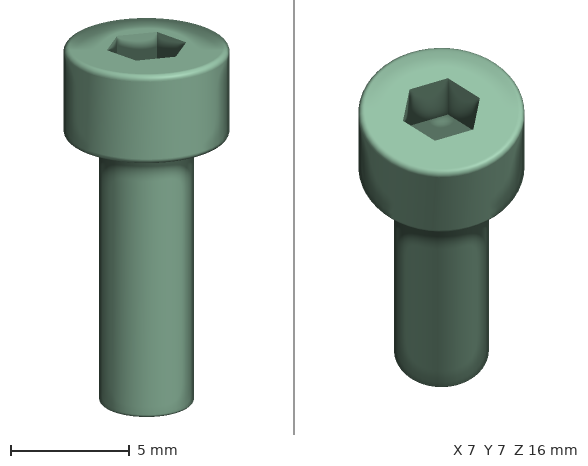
import cadquery as cq
import math

head_diameter = 7.0
head_height = 4.0
shank_diameter = 4.0
shank_length = 12.0
head_top_radius = 0.25
head_bottom_radius = 0.25
shank_tip_radius = 0.125
hex_sides = 6
socket_across_flats = 3.0
socket_depth = 2.4


def make_head():
    """Cylindrical head with rounded top and bottom rims."""
    head = cq.Workplane("XY").circle(head_diameter / 2).extrude(head_height)
    head = head.faces(">Z").edges().fillet(head_top_radius)
    return head.faces("<Z").edges().fillet(head_bottom_radius)


def make_shank():
    """Plain shank below the head with a rounded tip."""
    shank = cq.Workplane("XY").circle(shank_diameter / 2).extrude(-shank_length)
    return shank.faces("<Z").edges().fillet(shank_tip_radius)


def make_socket():
    """Hexagonal key socket sunk from the head top, two corners on the X axis."""
    across_corners = socket_across_flats / math.cos(math.pi / hex_sides)
    return (
        cq.Workplane("XY")
        .workplane(offset=head_height)
        .polygon(hex_sides, across_corners)
        .extrude(-socket_depth)
    )


result = make_head().union(make_shank()).cut(make_socket())